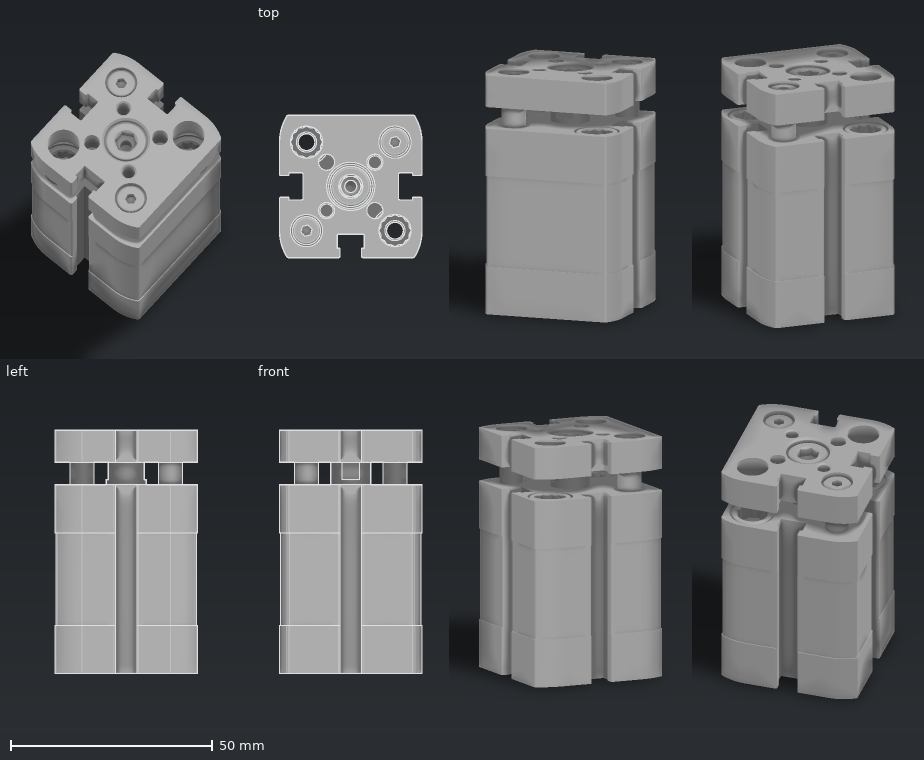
import cadquery as cq
import math


width = 35.5
half_width = width / 2
flank_half_length = 11.0
flank_arc_radius = 12.5
corner_radius = 0.7

slot_mouth_half_width = 2.65
slot_inner_half_width = 3.35
slot_lip_depth = 2.4
slot_depth = 5.85
slot_mouth_radius = 0.45
slot_corner_radius = 0.3
slot_turns = (-90, 0, 90)

cap_height = 12.0
housing_height = 47.0
barrel_height = housing_height - 2 * cap_height
barrel_inset = 0.25
stroke_gap = 5.5
plate_thickness = 8.0
plate_bottom = housing_height + stroke_gap
plate_top = plate_bottom + plate_thickness

corner_offset = 11.0
guide_positions = [(-corner_offset, -corner_offset), (corner_offset, corner_offset)]
well_positions = [(-corner_offset, corner_offset), (corner_offset, -corner_offset)]
plate_hole_offset = 6.0
thread_positions = [(-plate_hole_offset, -plate_hole_offset), (plate_hole_offset, plate_hole_offset)]
dowel_positions = [(-plate_hole_offset, plate_hole_offset), (plate_hole_offset, -plate_hole_offset)]
center = [(0, 0)]

rod_diameter = 10.0
rod_bottom = housing_height - cap_height
rod_across_flats = 9.0
rod_flat_length = 4.25
rod_end_sink = 0.8
rod_end_radius = 0.5
rod_recess_diameter = 11.0
rod_recess_depth = 1.5
rod_recess_chamfer = 0.5
rod_top = plate_top - rod_end_sink

rod_socket_across_flats = 5.0
rod_socket_depth = 2.5
rod_socket_countersink_diameter = 6.0
rod_drill_diameter = 3.0
rod_drill_depth = 6.0
drill_point_angle = 118.0

guide_diameter = 6.0
guide_bottom = housing_height - cap_height
guide_seal_diameter = 8.0
guide_seal_depth = 0.1
head_pocket_diameter = 8.0
head_pocket_depth = 1.5
head_diameter = 7.0
head_sink = 0.6
head_radius = 0.5
head_socket_across_flats = 2.5
head_socket_depth = 2.0
head_socket_turn = 15.0

access_hole_diameter = 8.0
dowel_diameter = 4.0
thread_core_diameter = 3.24
thread_countersink_diameter = 4.0

well_pocket_diameter = 11.5
well_pocket_depth = 1.0
collar_diameter = 10.5
collar_edge_radius = 0.5
well_mouth_diameter = 8.5
well_socket_across_flats = 7.0
well_socket_depth = 4.3
well_bore_diameter = 4.13
well_bore_countersink_diameter = 5.0


def cylinders(diameter, bottom, top, positions):
    return (
        cq.Workplane("XY", origin=(0, 0, bottom))
        .pushPoints(positions)
        .circle(diameter / 2)
        .extrude(top - bottom)
    )


def countersinks(small_diameter, large_diameter, top, positions, point_angle=90.0):
    """Cones that narrow downward from large_diameter at the height `top`."""
    depth = (large_diameter - small_diameter) / 2 / math.tan(math.radians(point_angle / 2))
    cones = cq.Workplane("XY")
    for x, y in positions:
        foot = cq.Vector(x, y, top - depth)
        cones = cones.add(cq.Solid.makeCone(small_diameter / 2, large_diameter / 2, depth, foot))
    return cones.combine()


def hexagon_sockets(across_flats, top, depth, positions, turn=0.0):
    across_corners = across_flats / math.cos(math.pi / 6)
    hexagon = cq.Workplane("XY").polygon(6, across_corners).extrude(-depth)
    hexagon = hexagon.rotate((0, 0, 0), (0, 0, 1), turn).val()
    sockets = cq.Workplane("XY")
    for x, y in positions:
        sockets = sockets.add(hexagon.translate(cq.Vector(x, y, top)))
    return sockets.combine()


def outline_block(bottom, height, inset):
    """Block with two flat flanks that curve in towards the flat -Y and +Y sides."""
    end_x = half_width - inset
    end_y = half_width - inset
    arc_radius = flank_arc_radius - inset
    arc_center_x = half_width - flank_arc_radius
    arc_angle = math.asin((end_y - flank_half_length) / arc_radius)
    arc_end_x = arc_center_x + arc_radius * math.cos(arc_angle)
    arc_mid_x = arc_center_x + arc_radius * math.cos(arc_angle / 2)
    arc_mid_y = flank_half_length + arc_radius * math.sin(arc_angle / 2)
    return (
        cq.Workplane("XY", origin=(0, 0, bottom))
        .moveTo(end_x, -flank_half_length)
        .lineTo(end_x, flank_half_length)
        .threePointArc((arc_mid_x, arc_mid_y), (arc_end_x, end_y))
        .lineTo(-arc_end_x, end_y)
        .threePointArc((-arc_mid_x, arc_mid_y), (-end_x, flank_half_length))
        .lineTo(-end_x, -flank_half_length)
        .threePointArc((-arc_mid_x, -arc_mid_y), (-arc_end_x, -end_y))
        .lineTo(arc_end_x, -end_y)
        .threePointArc((arc_mid_x, -arc_mid_y), (end_x, -flank_half_length))
        .close()
        .extrude(height)
        .edges("|Z and (<Y or >Y)")
        .fillet(corner_radius)
    )


def slot_cutter(bottom, height, inset):
    """T-slot of the -Y side, with rounded mouth edges, lip edges and floor corners."""
    face = -half_width + inset
    lip = -half_width + slot_lip_depth
    floor = -half_width + slot_depth
    mouth = slot_mouth_half_width
    inner = slot_inner_half_width
    r = slot_corner_radius
    return (
        cq.Workplane("XY", origin=(0, 0, bottom))
        .moveTo(0, face)
        .lineTo(mouth + slot_mouth_radius, face)
        .radiusArc((mouth, face + slot_mouth_radius), slot_mouth_radius)
        .lineTo(mouth, lip - r)
        .radiusArc((mouth + r, lip), r)
        .lineTo(inner, lip)
        .lineTo(inner, floor - r)
        .radiusArc((inner - r, floor), -r)
        .lineTo(0, floor)
        .mirrorY()
        .extrude(height)
    )


def slotted_block(bottom, height, inset=0.0):
    block = outline_block(bottom, height, inset)
    slot = slot_cutter(bottom, height, inset)
    for turn in slot_turns:
        block = block.cut(slot.rotate((0, 0, 0), (0, 0, 1), turn))
    return block


def cut_screw_wells(body):
    top = housing_height
    pocket_floor = top - well_pocket_depth
    socket_floor = top - well_socket_depth
    collars = cylinders(collar_diameter, pocket_floor, top, well_positions)
    collars = collars.faces(">Z").edges().fillet(collar_edge_radius)
    body = body.cut(cylinders(well_pocket_diameter, pocket_floor, top, well_positions)).union(collars)
    for turn in (0, 30):
        body = body.cut(
            hexagon_sockets(well_socket_across_flats, top, well_socket_depth, well_positions, turn)
        )
    body = body.cut(countersinks(well_socket_across_flats, well_mouth_diameter, top, well_positions))
    body = body.cut(cylinders(well_bore_diameter, 0, socket_floor, well_positions))
    return body.cut(
        countersinks(well_bore_diameter, well_bore_countersink_diameter, socket_floor, well_positions)
    )


def make_housing():
    barrel_top = cap_height + barrel_height
    body = slotted_block(0, cap_height)
    body = body.union(slotted_block(cap_height, barrel_height, barrel_inset))
    body = body.union(slotted_block(barrel_top, cap_height))
    body = body.cut(cylinders(rod_diameter, rod_bottom, housing_height, center))
    body = body.cut(cylinders(guide_diameter, guide_bottom, housing_height, guide_positions))
    seal_floor = housing_height - guide_seal_depth
    body = body.cut(cylinders(guide_seal_diameter, seal_floor, housing_height, guide_positions))
    return cut_screw_wells(body)


def make_plate():
    plate = slotted_block(plate_bottom, plate_thickness)
    plate = plate.cut(cylinders(access_hole_diameter, plate_bottom, plate_top, well_positions))
    plate = plate.cut(cylinders(dowel_diameter, plate_bottom, plate_top, dowel_positions))
    plate = plate.cut(cylinders(thread_core_diameter, plate_bottom, plate_top, thread_positions))
    plate = plate.cut(
        countersinks(thread_core_diameter, thread_countersink_diameter, plate_top, thread_positions)
    )
    head_floor = plate_top - head_pocket_depth
    plate = plate.cut(cylinders(head_pocket_diameter, head_floor, plate_top, guide_positions))
    rod_floor = plate_top - rod_recess_depth
    plate = plate.cut(cylinders(rod_recess_diameter, rod_floor, plate_top, center))
    recess_mouth_diameter = rod_recess_diameter + 2 * rod_recess_chamfer
    return plate.cut(countersinks(rod_recess_diameter, recess_mouth_diameter, plate_top, center))


def make_rod():
    rod = cylinders(rod_diameter, rod_bottom, rod_top, center).faces(">Z").edges().fillet(rod_end_radius)
    flat_depth = (rod_diameter - rod_across_flats) / 2
    flat_middle = plate_bottom - rod_flat_length / 2
    for side in (-1, 1):
        flat = cq.Workplane("XY").box(rod_diameter, flat_depth, rod_flat_length)
        rod = rod.cut(flat.translate((0, side * (rod_diameter - flat_depth) / 2, flat_middle)))
    return rod


def cut_rod_socket(body):
    socket_floor = rod_top - rod_socket_depth
    drill_floor = rod_top - rod_drill_depth
    body = body.cut(hexagon_sockets(rod_socket_across_flats, rod_top, rod_socket_depth, center))
    body = body.cut(
        countersinks(rod_socket_across_flats, rod_socket_countersink_diameter, rod_top, center)
    )
    body = body.cut(
        countersinks(rod_drill_diameter, rod_socket_across_flats, socket_floor, center, drill_point_angle)
    )
    body = body.cut(cylinders(rod_drill_diameter, drill_floor, socket_floor, center))
    return body.cut(countersinks(0, rod_drill_diameter, drill_floor, center, drill_point_angle))


def make_yoke():
    yoke = make_plate().union(make_rod())
    yoke = cut_rod_socket(yoke)
    head_floor = plate_top - head_pocket_depth
    head_top = plate_top - head_sink
    heads = cylinders(head_diameter, head_floor, head_top, guide_positions)
    yoke = yoke.union(heads.faces(">Z").edges().fillet(head_radius))
    yoke = yoke.union(cylinders(guide_diameter, guide_bottom, head_floor, guide_positions))
    return yoke.cut(
        hexagon_sockets(
            head_socket_across_flats, head_top, head_socket_depth, guide_positions, head_socket_turn
        )
    )


housing = make_housing()
yoke = make_yoke()
result = cq.Compound.makeCompound([*housing.solids().vals(), *yoke.solids().vals()])